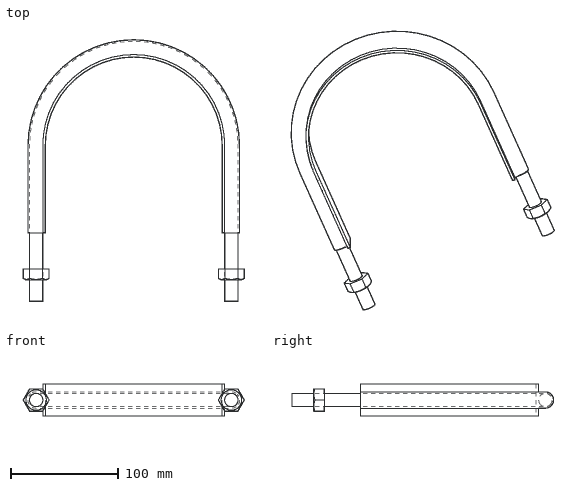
import cadquery as cq
import math

overall_length = 244.0
overall_width = 206.1

rod_diameter = 12.5

nut_across_flats = 21.0
nut_height = 10.2
nut_outer_face_diameter = 19.0
nut_chamfer_angle = 30.0
rod_below_nut = 20.0

sheath_wall = 1.5
strip_width = 30.0
strip_thickness = 2.5
rod_below_sheath = 64.0

nut_across_corners = nut_across_flats / math.cos(math.radians(30))
rod_radius = rod_diameter / 2
leg_x = (overall_width - nut_across_corners) / 2
channel_radius = rod_radius + sheath_wall
strip_outer_x = leg_x - rod_radius
strip_inner_x = strip_outer_x - strip_thickness
rod_end_y = leg_x + channel_radius - overall_length
sheath_end_y = rod_end_y + rod_below_sheath
nut_bottom_y = rod_end_y + rod_below_nut


def section_plane(y):
    """XZ section plane at the given Y; local x is +X, local y is +Z."""
    return cq.Workplane("XZ", origin=(0, y, 0))


def u_path(end_y):
    """Centreline of the U: straight leg, half-circle bend, straight leg."""
    return (
        cq.Workplane("XY")
        .moveTo(leg_x, end_y)
        .lineTo(leg_x, 0)
        .threePointArc((0, leg_x), (-leg_x, 0))
        .lineTo(-leg_x, end_y)
    )


def make_rod():
    section = section_plane(rod_end_y).center(leg_x, 0).circle(rod_radius)
    return section.sweep(u_path(rod_end_y))


def make_sheath(rod):
    """Strip and round-backed channel in one section, hollowed by the rod."""
    section = (
        section_plane(sheath_end_y)
        .moveTo(strip_inner_x, -strip_width / 2)
        .lineTo(strip_outer_x, -strip_width / 2)
        .lineTo(strip_outer_x, -channel_radius)
        .lineTo(leg_x, -channel_radius)
        .threePointArc((leg_x + channel_radius, 0), (leg_x, channel_radius))
        .lineTo(strip_outer_x, channel_radius)
        .lineTo(strip_outer_x, strip_width / 2)
        .lineTo(strip_inner_x, strip_width / 2)
        .close()
    )
    return section.sweep(u_path(sheath_end_y)).cut(rod)


def make_nut(x):
    """Hexagonal nut bored to fit the rod, its corners coned off at the outer end."""
    nut = (
        section_plane(nut_bottom_y)
        .center(x, 0)
        .polygon(6, nut_across_corners)
        .circle(rod_radius)
        .extrude(-nut_height)
    )
    corner_radius = nut_across_corners / 2
    outer_face_radius = nut_outer_face_diameter / 2
    outer_chamfer = (corner_radius - outer_face_radius) * math.tan(math.radians(nut_chamfer_angle))
    envelope = (
        cq.Workplane("XY", origin=(x, nut_bottom_y, 0))
        .lineTo(outer_face_radius, 0)
        .lineTo(corner_radius, outer_chamfer)
        .lineTo(corner_radius, nut_height)
        .lineTo(0, nut_height)
        .close()
        .revolve(360, (0, 0, 0), (0, 1, 0))
    )
    return nut.intersect(envelope)


rod = make_rod()
sheath = make_sheath(rod)
nuts = [make_nut(x) for x in (-leg_x, leg_x)]

result = cq.Compound.makeCompound([rod.val(), sheath.val(), *[nut.val() for nut in nuts]])